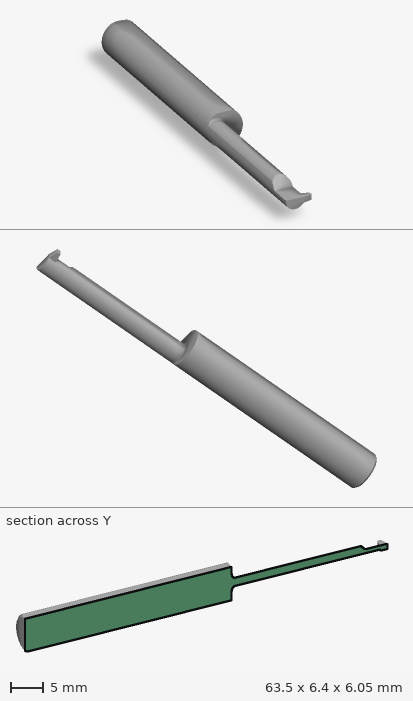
import cadquery as cq

total_length = 63.5
shank_length = 36.25
shank_radius = 3.2
flat_height = 2.85
chamfer = 0.4

neck_radius = 1.8
neck_center_y = -1.6
neck_side_y = 0.05
root_fillet = 0.45

face_start_x = 59.55

tooth_base_x = 62.1
tooth_flank_x = 62.3
tooth_flank_y = 0.75
tooth_tip_start_x = 62.5
tooth_tip_end_x = 63.05
tooth_tip_y = 1.45
tooth_thickness = 1.0


def round_bar(length):
    return cq.Workplane("YZ").circle(shank_radius).extrude(length)


def make_shank():
    bar = round_bar(shank_length).faces("<X").chamfer(chamfer)
    flat_cutter = (
        cq.Workplane("XY", origin=(0, 0, flat_height))
        .rect(2 * shank_length, 2 * shank_radius)
        .extrude(shank_radius)
    )
    return bar.cut(flat_cutter)


def make_neck():
    """Neck with a filleted root, kept inside the shank's round envelope."""
    root_start_x = shank_length / 2
    root = (
        cq.Workplane("YZ", origin=(root_start_x, 0, 0))
        .rect(4 * shank_radius, 4 * shank_radius)
        .extrude(shank_length - root_start_x)
    )
    neck = (
        cq.Workplane("YZ", origin=(root_start_x, 0, 0))
        .center(neck_center_y, 0)
        .circle(neck_radius)
        .extrude(total_length - root_start_x)
    )
    side_cutter = cq.Workplane("XY").box(
        2 * total_length, shank_radius, 2 * shank_radius, centered=(True, False, True)
    ).translate((0, neck_side_y, 0))
    neck = root.union(neck.cut(side_cutter))
    root_edges = cq.selectors.BoxSelector(
        (shank_length - root_fillet / 2, -2 * shank_radius + root_fillet, -shank_radius),
        (shank_length + root_fillet / 2, shank_radius, shank_radius),
    )
    neck = neck.edges(root_edges).fillet(root_fillet)
    root_block = cq.Workplane("XY").box(
        2 * shank_length, 4 * shank_radius, 4 * shank_radius
    )
    return neck.cut(root_block).intersect(round_bar(total_length))


def make_face_cutter():
    """Wedge-ended block above the cutting face, its ramp rising toward the shank."""
    rise = shank_radius
    return (
        cq.Workplane("XZ")
        .moveTo(face_start_x, 0)
        .lineTo(total_length, 0)
        .lineTo(total_length, rise)
        .lineTo(face_start_x - rise, rise)
        .close()
        .extrude(shank_radius, both=True)
    )


def make_tooth():
    return (
        cq.Workplane("XY")
        .moveTo(tooth_base_x, neck_center_y)
        .lineTo(tooth_base_x, neck_side_y)
        .lineTo(tooth_flank_x, tooth_flank_y)
        .lineTo(tooth_tip_start_x, tooth_tip_y)
        .lineTo(tooth_tip_end_x, tooth_tip_y)
        .lineTo(total_length, -neck_side_y)
        .lineTo(total_length, neck_center_y)
        .close()
        .extrude(-tooth_thickness)
    )


def make_head_corner_cutter():
    """Trims the neck's end corner to the line of the tooth's front flank."""
    return (
        cq.Workplane("XY")
        .moveTo(total_length, -neck_side_y)
        .lineTo(tooth_tip_end_x, tooth_tip_y)
        .lineTo(total_length, tooth_tip_y)
        .close()
        .extrude(-neck_radius)
    )


head = make_neck().cut(make_face_cutter()).union(make_tooth()).cut(make_head_corner_cutter())
result = make_shank().union(head)